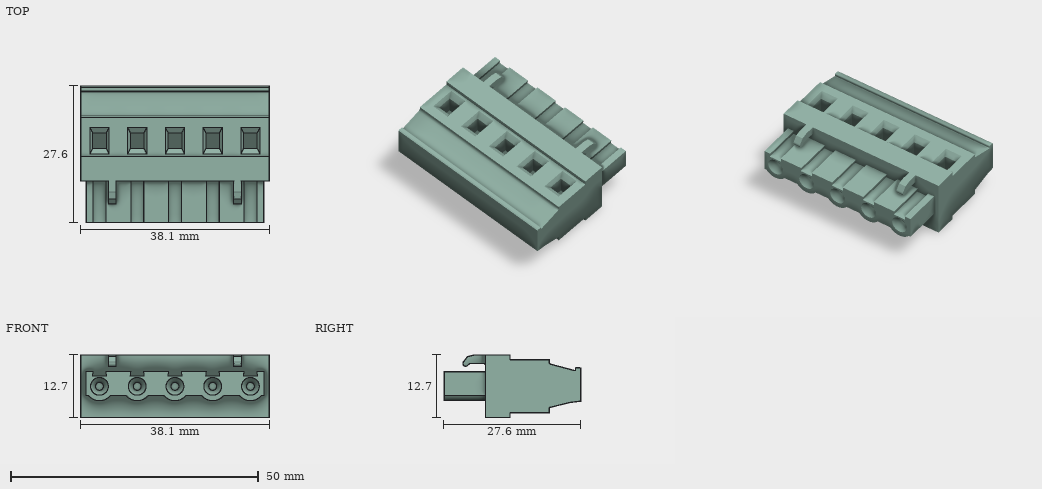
import cadquery as cq
import math

MID_ARC = math.sqrt(0.5)

poles = 5
pitch = 7.62
width = 38.1
flange_height = 12.7
flange_depth = 4.95
pole_positions = [(i - (poles - 1) / 2) * pitch for i in range(poles)]

step = 0.95
body_back = 12.88
rear_face = 19.25
body_top = flange_height - step
top_taper_start = 10.8
top_fillet_radius = 0.42
bottom_taper_start = 2.02
bottom_break_y = 17.03
bottom_break_z = 3.05
rear_bottom = 3.3

lip_top = 10.1
lip_front = 18.15
lip_foot = 9.55
lip_rounding = 0.23
lip_gutter = 0.25
lip_chamfer_depth = 0.25
lip_chamfer_drop = 0.1

tongue_width = 35.9
tongue_length = 8.35
tongue_bottom = 4.5
tongue_top = 9.3
contact_z = 6.32
sleeve_radius = 2.9

keyway_top_width = 2.6
keyway_bottom_width = 2.82
keyway_depth = 0.85

mouth_diameter = 3.6
throat_diameter = 1.6
cone_depth = 1.9

pocket_y = 8.2
pocket_width = 3.9
pocket_length = 5.4
well_width = 2.75
well_length = 3.12
funnel_depth = 1.0
well_depth = 3.8

latch_spacing = 25.3
latch_width = 1.55
latch_underside = 10.95
latch_bend_y = -2.2
latch_shoulder_y = -3.62
latch_shoulder_z = 12.35
latch_tip_radius = 0.57
latch_tip_y = -4.0
latch_root_radius = 0.35


def extrude_along_x(profile, length, x_center=0.0):
    """Extrude a closed YZ profile symmetrically about x_center."""
    return profile.extrude(length / 2, both=True).translate((x_center, 0, 0))


def make_housing():
    taper_start_y = body_back + top_fillet_radius
    fillet_z = top_taper_start + top_fillet_radius
    arc_offset = top_fillet_radius * (1 - MID_ARC)
    lip_arc_offset = lip_rounding * (1 - MID_ARC)
    profile = (
        cq.Workplane("YZ")
        .moveTo(0, 0)
        .lineTo(flange_depth, 0)
        .lineTo(flange_depth, step)
        .lineTo(body_back, step)
        .lineTo(body_back, bottom_taper_start)
        .lineTo(bottom_break_y, bottom_break_z)
        .lineTo(rear_face, rear_bottom)
        .lineTo(rear_face, lip_top - lip_chamfer_drop)
        .lineTo(rear_face - lip_chamfer_depth, lip_top)
        .lineTo(lip_front + lip_rounding, lip_top)
        .threePointArc(
            (lip_front + lip_arc_offset, lip_top - lip_arc_offset),
            (lip_front, lip_top - lip_rounding),
        )
        .lineTo(lip_front, lip_foot)
        .lineTo(lip_front - lip_gutter, lip_foot)
        .lineTo(taper_start_y, top_taper_start)
        .threePointArc(
            (body_back + arc_offset, top_taper_start + arc_offset),
            (body_back, fillet_z),
        )
        .lineTo(body_back, body_top)
        .lineTo(flange_depth, body_top)
        .lineTo(flange_depth, flange_height)
        .lineTo(0, flange_height)
        .close()
    )
    return extrude_along_x(profile, width)


def make_tongue():
    front = cq.Workplane("XZ")
    tongue = cq.Workplane("XY").box(
        tongue_width, tongue_length, tongue_top - tongue_bottom, centered=(True, False, False)
    ).translate((0, -tongue_length, tongue_bottom))
    for x in pole_positions:
        sleeve = front.center(x, contact_z).circle(sleeve_radius).extrude(tongue_length)
        tongue = tongue.union(sleeve)
    envelope = cq.Workplane("XY").box(tongue_width, 2 * tongue_length, 2 * tongue_top)
    tongue = tongue.intersect(envelope)
    for x in pole_positions:
        tongue = tongue.cut(make_keyway(x))
    return tongue


def make_keyway(x):
    bottom_z = tongue_top - keyway_depth
    return (
        cq.Workplane("XZ")
        .moveTo(x - keyway_bottom_width / 2, bottom_z)
        .lineTo(x + keyway_bottom_width / 2, bottom_z)
        .lineTo(x + keyway_top_width / 2, tongue_top)
        .lineTo(x - keyway_top_width / 2, tongue_top)
        .close()
        .extrude(tongue_length)
    )


def make_contact_cone(x):
    return (
        cq.Workplane("XZ", origin=(x, -tongue_length, contact_z))
        .circle(mouth_diameter / 2)
        .workplane(offset=-cone_depth)
        .circle(throat_diameter / 2)
        .loft()
    )


def make_wire_pocket(x):
    top = cq.Workplane("XY", origin=(x, pocket_y, body_top))
    funnel = (
        top.rect(pocket_width, pocket_length)
        .workplane(offset=-funnel_depth)
        .rect(well_width, well_length)
        .loft()
    )
    well = top.rect(well_width, well_length).extrude(-funnel_depth - well_depth)
    return funnel.union(well)


def make_latch(x):
    def tip_point(angle):
        radians = math.radians(angle)
        return (
            latch_tip_y + latch_tip_radius * math.cos(radians),
            latch_underside + latch_tip_radius * math.sin(radians),
        )

    shoulder_dy = latch_shoulder_y - latch_tip_y
    shoulder_dz = latch_shoulder_z - latch_underside
    shoulder_distance = math.hypot(shoulder_dy, shoulder_dz)
    shoulder_direction = math.degrees(math.atan2(shoulder_dz, shoulder_dy))
    nose_angle = shoulder_direction + math.degrees(math.acos(latch_tip_radius / shoulder_distance))
    inner_angle = 315
    root_offset = latch_root_radius * (1 - MID_ARC)
    inner_y, inner_z = tip_point(inner_angle)
    profile = (
        cq.Workplane("YZ")
        .moveTo(0, flange_height)
        .lineTo(latch_bend_y, flange_height)
        .lineTo(latch_shoulder_y, latch_shoulder_z)
        .lineTo(*tip_point(nose_angle))
        .threePointArc(tip_point((nose_angle + inner_angle) / 2), (inner_y, inner_z))
        .lineTo(inner_y + latch_underside - inner_z, latch_underside)
        .lineTo(-latch_root_radius, latch_underside)
        .threePointArc(
            (-root_offset, latch_underside - root_offset),
            (0, latch_underside - latch_root_radius),
        )
        .close()
    )
    return extrude_along_x(profile, latch_width, x)


result = make_housing().union(make_tongue())
for side in (-1, 1):
    result = result.union(make_latch(side * latch_spacing / 2))
for pole_x in pole_positions:
    result = result.cut(make_contact_cone(pole_x))
    result = result.cut(make_wire_pocket(pole_x))